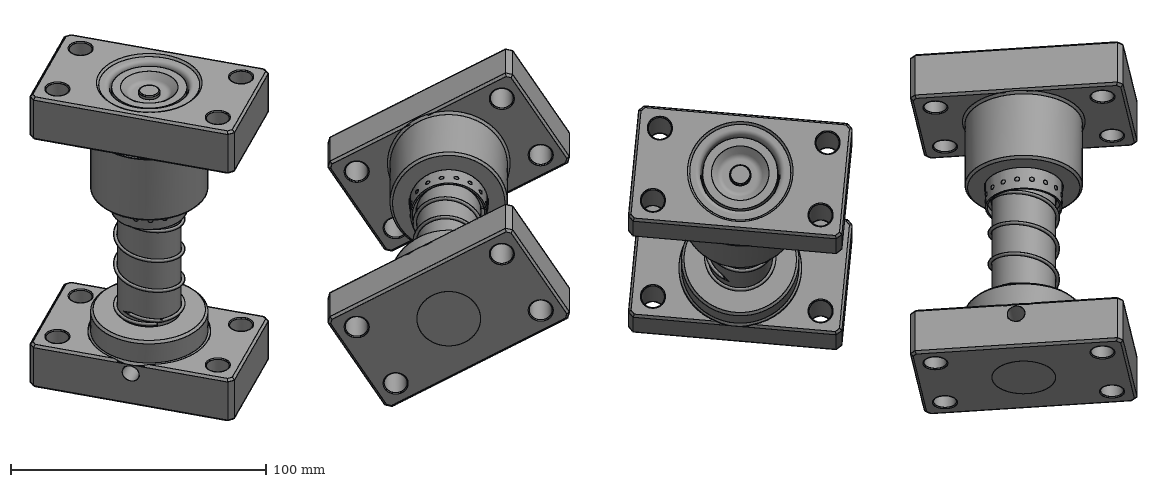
import cadquery as cq
PLATE_LENGTH = 84.0
PLATE_WIDTH = 48.0
PLATE_THICKNESS = 20.0
PLATE_ANGLE = 21.0
PLATE_CORNER_CHAMFER = 2.0
EDGE_CHAMFER = 1.0
TOTAL_HEIGHT = 136.6
UPPER_PLATE_BOTTOM = TOTAL_HEIGHT - PLATE_THICKNESS

SCREW_HOLE_DIAMETER = 9.0
SCREW_HOLE_SPACING_LONG = 66.0
SCREW_HOLE_SPACING_SHORT = 30.0
SCREW_HOLE_CHAMFER = 0.4

FLANGE_DIAMETER = 46.0
LIP_DIAMETER = 48.1
LIP_HEIGHT = 1.0
SHANK_DIAMETER = 39.6
SHANK_HOLE_CHAMFER = 0.89

COLLAR_HEIGHT = 10.0
COLLAR_TOP = PLATE_THICKNESS + COLLAR_HEIGHT
COLLAR_BOTTOM = PLATE_THICKNESS - LIP_HEIGHT

RADIAL_HOLE_DIAMETER = 7.0
RADIAL_HOLE_DROP = 5.0

BUSH_HEIGHT = 30.0
BUSH_BOTTOM = UPPER_PLATE_BOTTOM - BUSH_HEIGHT
BORE_DIAMETER = 31.0
BORE_ROUNDING = 2.0

PILLAR_DIAMETER = 25.0
BALL_DIAMETER = 2.2
BALL_COUNT = 16
BALL_START_ANGLE = -4.4
BALL_DROP = 4.9
CAGE_DIAMETER = 29.9
CAGE_BORE_DIAMETER = 25.5
CAGE_DROP = 9.2
CAGE_BOTTOM = BUSH_BOTTOM - CAGE_DROP
SPRING_POCKET_DIAMETER = 28.5
SPRING_POCKET_DEPTH = 2.7

CAP_DIAMETER = 29.5
CAP_THICKNESS = 5.0
CAP_DROP = 2.0
CAP_TOP = TOTAL_HEIGHT - CAP_DROP
CAP_BOTTOM = CAP_TOP - CAP_THICKNESS
DISH_DIAMETER = 22.5
DISH_FLOOR_DIAMETER = 15.8
DISH_DEPTH = 3.1
DISH_ROUNDING = 2.7
STUD_DIAMETER = 8.3
STUD_HEIGHT = 1.6
STUD_CHAMFER = 0.4
STUD_DEPTH = 10.0

SPRING_DIAMETER = 26.6
WIRE_DIAMETER = 1.4
JOINT_DIAMETER = 1.5
SPRING_PITCH = 14.1
CLOSED_PITCH = 1.2
SPRING_TOP = CAGE_BOTTOM + 1.9
SPRING_TOP_ANGLE = 221.0
OPEN_TURNS = 3.3
CLOSED_TURNS = 0.98


def cylinder(diameter, bottom, top):
    return cq.Workplane("XY", origin=(0, 0, bottom)).circle(diameter / 2).extrude(top - bottom)


def cone(bottom_diameter, top_diameter, bottom, top):
    height = top - bottom
    return cq.Workplane(
        cq.Solid.makeCone(bottom_diameter / 2, top_diameter / 2, height, cq.Vector(0, 0, bottom))
    )


def screw_hole():
    """Through hole with both rims chamfered, as a solid to cut away."""
    rim_diameter = SCREW_HOLE_DIAMETER + 2 * SCREW_HOLE_CHAMFER
    rim_bottom = PLATE_THICKNESS - SCREW_HOLE_CHAMFER
    hole = cylinder(SCREW_HOLE_DIAMETER, 0, PLATE_THICKNESS)
    hole = hole.union(cone(rim_diameter, SCREW_HOLE_DIAMETER, 0, SCREW_HOLE_CHAMFER))
    return hole.union(cone(SCREW_HOLE_DIAMETER, rim_diameter, rim_bottom, PLATE_THICKNESS))


def drilled_plate(bottom):
    """Turned and chamfered plate with a screw hole in each corner."""
    plate = (
        cq.Workplane("XY")
        .rect(PLATE_LENGTH, PLATE_WIDTH)
        .extrude(PLATE_THICKNESS)
        .edges("|Z")
        .chamfer(PLATE_CORNER_CHAMFER)
        .faces("<Z or >Z")
        .edges()
        .chamfer(EDGE_CHAMFER)
    )
    for x_side in (-0.5, 0.5):
        for y_side in (-0.5, 0.5):
            place = (x_side * SCREW_HOLE_SPACING_LONG, y_side * SCREW_HOLE_SPACING_SHORT, 0)
            plate = plate.cut(screw_hole().translate(place))
    return plate.rotate((0, 0, 0), (0, 0, 1), PLATE_ANGLE).translate((0, 0, bottom))


def radial_hole():
    """Level drill from one long side of the lower plate to the axis."""
    axis_height = PLATE_THICKNESS - RADIAL_HOLE_DROP
    drill = (
        cq.Workplane("XZ", origin=(0, 0, axis_height))
        .circle(RADIAL_HOLE_DIAMETER / 2)
        .extrude(PLATE_WIDTH)
    )
    return drill.rotate((0, 0, 0), (0, 0, 1), PLATE_ANGLE)


def make_lower_plate():
    plate = drilled_plate(0).cut(cylinder(PILLAR_DIAMETER, 0, PLATE_THICKNESS))
    plate = plate.cut(cylinder(LIP_DIAMETER, COLLAR_BOTTOM, PLATE_THICKNESS))
    return plate.cut(radial_hole())


def make_upper_plate():
    rim_diameter = SHANK_DIAMETER + 2 * SHANK_HOLE_CHAMFER
    rim_bottom = TOTAL_HEIGHT - SHANK_HOLE_CHAMFER
    plate = drilled_plate(UPPER_PLATE_BOTTOM)
    plate = plate.cut(cylinder(SHANK_DIAMETER, UPPER_PLATE_BOTTOM, TOTAL_HEIGHT))
    return plate.cut(cone(SHANK_DIAMETER, rim_diameter, rim_bottom, TOTAL_HEIGHT))


def make_collar():
    """Flange whose lip is sunk into the lower plate."""
    flange = cylinder(FLANGE_DIAMETER, COLLAR_BOTTOM, COLLAR_TOP)
    flange = flange.faces(">Z").edges().chamfer(EDGE_CHAMFER)
    lip = cone(LIP_DIAMETER, FLANGE_DIAMETER, COLLAR_BOTTOM, COLLAR_BOTTOM + LIP_HEIGHT)
    return flange.union(lip).cut(cylinder(PILLAR_DIAMETER, COLLAR_BOTTOM, COLLAR_TOP))


def make_bush():
    """Flange below the upper plate, conical lip against it and shank inside it."""
    top = TOTAL_HEIGHT - SHANK_HOLE_CHAMFER
    lip_bottom = UPPER_PLATE_BOTTOM - LIP_HEIGHT
    flange = cylinder(FLANGE_DIAMETER, BUSH_BOTTOM, UPPER_PLATE_BOTTOM)
    flange = flange.faces("<Z").edges().chamfer(EDGE_CHAMFER)
    lip = cone(FLANGE_DIAMETER, LIP_DIAMETER, lip_bottom, UPPER_PLATE_BOTTOM)
    shank = cylinder(SHANK_DIAMETER, UPPER_PLATE_BOTTOM, top)
    bush = flange.union(lip).union(shank).cut(cylinder(BORE_DIAMETER, BUSH_BOTTOM, top))
    bore_rim = cq.selectors.RadiusNthSelector(0)
    return bush.faces(">Z").edges(bore_rim).fillet(BORE_ROUNDING)


def make_pillar():
    pillar = cylinder(PILLAR_DIAMETER, 0, CAP_BOTTOM)
    return pillar.cut(cylinder(STUD_DIAMETER, CAP_BOTTOM - STUD_DEPTH, CAP_BOTTOM))


def make_ball_cage():
    """Sleeve with a pocket for the spring and one ring of balls that touch the bush bore."""
    cage = cylinder(CAGE_DIAMETER, CAGE_BOTTOM, CAP_BOTTOM)
    cage = cage.cut(cylinder(CAGE_BORE_DIAMETER, CAGE_BOTTOM, CAP_BOTTOM))
    cage = cage.cut(cylinder(SPRING_POCKET_DIAMETER, CAGE_BOTTOM, CAGE_BOTTOM + SPRING_POCKET_DEPTH))
    ring_radius = (BORE_DIAMETER - BALL_DIAMETER) / 2
    ball = cq.Workplane("XY", origin=(ring_radius, 0, BUSH_BOTTOM - BALL_DROP)).sphere(BALL_DIAMETER / 2)
    for index in range(BALL_COUNT):
        angle = BALL_START_ANGLE + 360 / BALL_COUNT * index
        cage = cage.union(ball.rotate((0, 0, 0), (0, 0, 1), angle))
    return cage


def make_cap():
    floor = CAP_TOP - DISH_DEPTH
    dish = cone(DISH_FLOOR_DIAMETER, DISH_DIAMETER, floor, CAP_TOP)
    dish = dish.faces("<Z").edges().fillet(DISH_ROUNDING)
    cap = cylinder(CAP_DIAMETER, CAP_BOTTOM, CAP_TOP).cut(dish)
    return cap.cut(cylinder(STUD_DIAMETER, CAP_BOTTOM, CAP_TOP))


def make_stud():
    top = CAP_TOP - DISH_DEPTH + STUD_HEIGHT
    stud = cylinder(STUD_DIAMETER, CAP_BOTTOM - STUD_DEPTH, top)
    return stud.faces(">Z").edges().chamfer(STUD_CHAMFER)


def coil(pitch, turns, bottom, bottom_angle):
    """Left-handed coil, which runs clockwise as it climbs from its bottom end."""
    radius = SPRING_DIAMETER / 2
    path = cq.Wire.makeHelix(pitch, pitch * turns, radius, lefthand=True)
    wire = cq.Workplane("XZ", origin=(radius, 0, 0)).circle(WIRE_DIAMETER / 2)
    body = wire.sweep(cq.Workplane(path), isFrenet=True)
    return body.rotate((0, 0, 0), (0, 0, 1), bottom_angle).translate((0, 0, bottom))


def make_spring():
    """Open coils and a closed bottom coil, joined by a ball slightly thicker than the wire."""
    joint_height = SPRING_TOP - SPRING_PITCH * OPEN_TURNS
    joint_angle = SPRING_TOP_ANGLE + 360 * OPEN_TURNS
    bottom = joint_height - CLOSED_PITCH * CLOSED_TURNS
    bottom_angle = joint_angle + 360 * CLOSED_TURNS
    open_coils = coil(SPRING_PITCH, OPEN_TURNS, joint_height, joint_angle)
    closed_coil = coil(CLOSED_PITCH, CLOSED_TURNS, bottom, bottom_angle)
    joint = cq.Workplane("XY", origin=(SPRING_DIAMETER / 2, 0, joint_height)).sphere(JOINT_DIAMETER / 2)
    joint = joint.rotate((0, 0, 0), (0, 0, 1), joint_angle)
    return open_coils.union(joint).union(closed_coil)


bodies = [
    make_lower_plate(), make_upper_plate(), make_collar(), make_bush(), make_pillar(),
    make_ball_cage(), make_cap(), make_stud(), make_spring(),
]
result = cq.Compound.makeCompound([body.solids().val() for body in bodies])